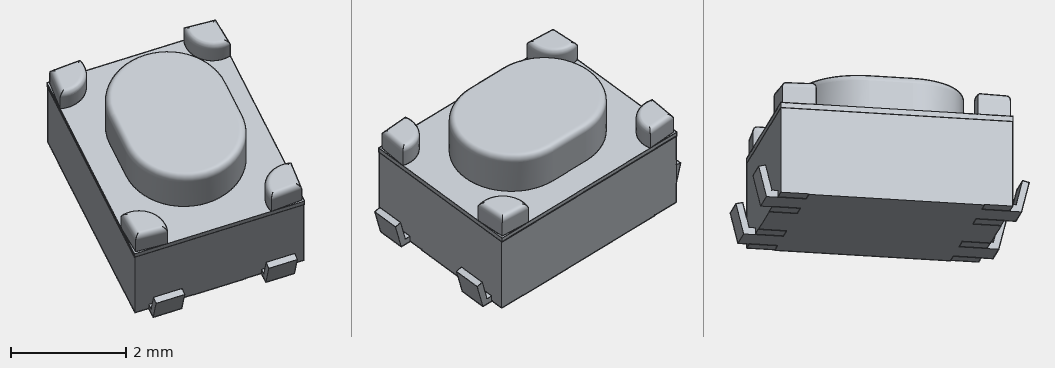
import cadquery as cq
import math

overall_length = 4.78

body_length = 4.095
body_width = 3.155
plate_length = 4.1
plate_width = 3.18
plate_thickness = 0.095
plate_top = 1.65
body_height = plate_top - plate_thickness

recess_length = 0.495
recess_width = 1.085
recess_depth = 0.01

button_length = 2.93
button_width = 2.16
button_top = 2.44
button_fillet = 0.125

stud_height = 0.405
stud_radius = 0.495
stud_centre_inset = 0.15
stud_corner_inset = 0.04
stud_fillet = 0.105

lead_width = 0.535
lead_pitch = 2.105
lead_thickness = 0.125
lead_lean = math.radians(14)
lead_heel = 0.205


def make_body():
    body = cq.Workplane("XY").box(body_length, body_width, body_height, centered=(True, True, False))
    recesses = (
        cq.Workplane("XY")
        .rect(body_length - recess_length, body_width - recess_width, forConstruction=True)
        .vertices()
        .rect(recess_length, recess_width)
        .extrude(recess_depth)
    )
    plate = (
        cq.Workplane("XY")
        .workplane(offset=body_height)
        .rect(plate_length, plate_width)
        .extrude(plate_thickness)
    )
    return body.cut(recesses).union(plate)


def make_button():
    return (
        cq.Workplane("XY")
        .workplane(offset=plate_top)
        .slot2D(button_length, button_width)
        .extrude(button_top - plate_top)
        .faces(">Z")
        .edges()
        .fillet(button_fillet)
    )


def make_stud():
    """Stud at the -X, -Y corner of the plate."""
    left = -plate_length / 2
    front = -plate_width / 2
    centre_x = left + stud_centre_inset
    centre_y = front + stud_centre_inset
    arc_reach = math.sqrt(stud_radius**2 - stud_centre_inset**2)
    arc_middle = stud_radius / math.sqrt(2)
    return (
        cq.Workplane("XY")
        .workplane(offset=plate_top)
        .moveTo(left + stud_corner_inset, front + stud_corner_inset)
        .lineTo(centre_x + arc_reach, front)
        .threePointArc((centre_x + arc_middle, centre_y + arc_middle), (left, centre_y + arc_reach))
        .close()
        .extrude(stud_height)
        .faces(">Z")
        .edges()
        .fillet(stud_fillet)
    )


def make_lead():
    """Lead on the -X side, in front of the middle."""
    side = -body_length / 2
    tip_x = -overall_length / 2
    heel_x = side - lead_heel
    tip_z = (heel_x - tip_x) / math.tan(lead_lean)
    end_x = tip_x + lead_thickness * math.cos(lead_lean)
    end_z = tip_z + lead_thickness * math.sin(lead_lean)
    bend_x = end_x + (end_z - lead_thickness) * math.tan(lead_lean)
    foot_end = side + recess_length
    outline = [
        (foot_end, 0),
        (heel_x, 0),
        (tip_x, tip_z),
        (end_x, end_z),
        (bend_x, lead_thickness),
        (foot_end, lead_thickness),
    ]
    return (
        cq.Workplane("XZ", origin=(0, -lead_pitch / 2, 0))
        .polyline(outline)
        .close()
        .extrude(lead_width / 2, both=True)
    )


def at_four_corners(shape):
    """The shape together with its mirror images across both centre planes."""
    pair = shape.union(shape.mirror("YZ"))
    return pair.union(pair.mirror("XZ"))


result = (
    make_body()
    .union(make_button())
    .union(at_four_corners(make_stud()))
    .union(at_four_corners(make_lead()))
)